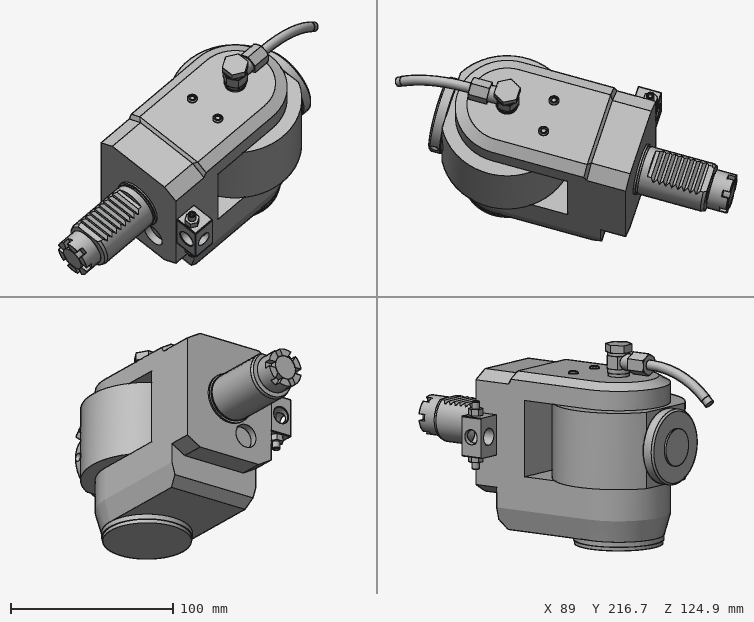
import cadquery as cq
import math


HALF_WIDTH = 32.0
PIVOT_Y = 86.0
FRONT_TOP_Z = 38.4
FRONT_CHAMFER_X = 9.7
FRONT_END_Y = 25.0
CHAMFER_SLOPE = math.tan(math.radians(30))
MAIN_TOP_Z = 40.2
MAIN_CHAMFER_X = 7.2
MAIN_START_Y = 26.9
FOOT_START_Y = 16.0
FOOT_TAPER_Z = -45.5
FOOT_BOTTOM_Z = -59.2
FOOT_TAPER = 3.9
FOOT_CHAMFER = 6.0
ROOF_BASE_Z = -30.0

HEAD_RADIUS = 41.0
HEAD_HALF_HEIGHT = 23.9
SLOT_FRONT_Y = 37.4
FLANGE_RADIUS = 23.6
FLANGE_NECK_RADIUS = 21.8
FLANGE_START_Y = 122.0
FLANGE_END_Y = 129.7
FLANGE_CHAMFER = 1.2
FLANGE_FRONT_CHAMFER = 0.5
SPINDLE_RADIUS = 11.7
SPINDLE_END_Y = 131.0
SPANNER_HOLE_DIAMETER = 5.4
SPANNER_HOLE_DEPTH = 2.7

COVER_RADIUS = 28.0
COVER_RIM_RADIUS = 27.4
COVER_STEP_Z = -62.4
COVER_BOTTOM_Z = -64.8

COLLAR_RADIUS = 16.1
COLLAR_LENGTH = 1.2
COLLAR_NECK_RADIUS = 14.8
SHANK_START = 2.4
SHANK_RADIUS = 15.2
SHANK_END = 45.0
SHANK_CHAMFER_LENGTH = 1.9
SHANK_TIP_RADIUS = 14.5
SHANK_NECK_RADIUS = 9.5
FLAT_START = 7.1
FLAT_Z = 12.1
TOOTH_COUNT = 8
TOOTH_PITCH = 3.95
TOOTH_DEPTH = 1.9
FIRST_VALLEY = 11.5
NUT_START = 46.1
NUT_END = 58.5
NUT_RADIUS = 12.2
NUT_BORE_RADIUS = 7.6
NUT_SLOT_COUNT = 6
NUT_SLOT_WIDTH = 4.0
NUT_SLOT_DEPTH = 4.2
COLLET_END = 58.8

LOCATING_HOLE_X = 12.7
LOCATING_HOLE_Z = -21.6
LOCATING_HOLE_DIAMETER = 15.2
LOCATING_HOLE_DEPTH = 5.0

BLOCK_END_X = 48.0
BLOCK_START_Y = 0.9
BLOCK_END_Y = 16.0
BLOCK_HALF_HEIGHT = 12.6
BLOCK_CHAMFER = 0.5
BLOCK_HOLE_DIAMETER = 10.6
BLOCK_HOLE_CHAMFER = 0.4
CROSS_HOLE_DIAMETER = 9.5
CROSS_HOLE_Y = 8.3
BLOCK_AXIS_X = 40.1
NIPPLE_Y = 6.0
NIPPLE_HEX_DIAMETER = 9.2
NIPPLE_HEX_HEIGHT = 4.0
NIPPLE_RADIUS = 2.4
NIPPLE_TIP_Z = 21.2
NIPPLE_TIP_CHAMFER = 0.4
NIPPLE_SOCKET_DIAMETER = 3.0
NIPPLE_SOCKET_DEPTH = 2.0
NIPPLE_HEX_ROUND_RADIUS = 4.4

SCREW_X = 10.9
SCREW_Y = 59.2
SCREW_RADIUS = 3.1
SCREW_HEIGHT = 1.3
SCREW_CHAMFER = 0.8
SCREW_SOCKET_DIAMETER = 3.4
SCREW_SOCKET_DEPTH = 1.0

STEM_RADIUS = 7.0
STEM_BASE_RADIUS = 6.6
STEM_BASE_TOP_Z = 42.2
STEM_TOP_Z = 55.2
STEM_HEX_DIAMETER = 15.5
STEM_FLATS_BOTTOM_Z = 45.0
STEM_FLATS_TOP_Z = 53.2
CAP_TOP_Z = 60.1
CAP_HEX_DIAMETER = 16.6
TUBE_Z = 49.3
ELBOW_RADIUS = 5.2
TUBE_NUT_START_Y = 97.4
TUBE_NUT_END_Y = 109.4
TUBE_NUT_DIAMETER = 14.0
TUBE_NUT_CHAMFER = 0.7
TUBE_RADIUS = 3.1
TUBE_BEND_START_Y = 111.4
TUBE_BEND_RADIUS = 60.0
TUBE_BEND_ANGLE = 43.7
TUBE_TIP_LENGTH = 4.1
TUBE_TIP_RADIUS = 2.95


def box(x0, x1, y0, y1, z0, z1):
    """Box given by its limits along each axis."""
    return cq.Workplane("XY").box(x1 - x0, y1 - y0, z1 - z0, centered=False).translate((x0, y0, z0))


def upright(x, y, z0, z1, radius):
    """Round bar along Z."""
    return cq.Workplane("XY", origin=(x, y, z0)).circle(radius).extrude(z1 - z0)


def lengthwise(y0, y1, radius, z=0):
    """Round bar along Y."""
    return cq.Workplane("XZ", origin=(0, y0, z)).circle(radius).extrude(y0 - y1)


def hexagon_upright(x, y, z0, z1, diameter):
    """Hexagonal bar along Z with two corners on X."""
    return cq.Workplane("XY", origin=(x, y, z0)).polygon(6, diameter).extrude(z1 - z0)


def u_wire(workplane, half_width, front_y):
    """Outline with a straight front and a round rear about the pivot axis."""
    return (
        workplane.moveTo(-half_width, front_y)
        .lineTo(half_width, front_y)
        .lineTo(half_width, PIVOT_Y)
        .threePointArc((0, PIVOT_Y + half_width), (-half_width, PIVOT_Y))
        .close()
    )


def u_block(z0, half_width0, z1, half_width1, front_y):
    """Block between two round-ended outlines at z0 and z1."""
    base = u_wire(cq.Workplane("XY", origin=(0, 0, z0)), half_width0, front_y)
    return u_wire(base.workplane(offset=z1 - z0), half_width1, front_y).loft(ruled=True)


def roof_points(top_z, chamfer_x):
    """Cross-section above the foot with both top corners cut at the roof slope."""
    corner_z = top_z - chamfer_x * CHAMFER_SLOPE
    flat_x = HALF_WIDTH - chamfer_x
    return [
        (-HALF_WIDTH, ROOF_BASE_Z),
        (-HALF_WIDTH, corner_z),
        (-flat_x, top_z),
        (flat_x, top_z),
        (HALF_WIDTH, corner_z),
        (HALF_WIDTH, ROOF_BASE_Z),
    ]


def make_body():
    front_upper = cq.Workplane("XZ").polyline(roof_points(FRONT_TOP_Z, FRONT_CHAMFER_X)).close()
    front_upper = front_upper.extrude(-FRONT_END_Y)
    body = front_upper.union(front_upper.mirror("XY"))

    step = (
        cq.Workplane("XZ", origin=(0, FRONT_END_Y, 0))
        .polyline(roof_points(FRONT_TOP_Z, FRONT_CHAMFER_X))
        .close()
        .workplane(offset=FRONT_END_Y - MAIN_START_Y)
        .polyline(roof_points(MAIN_TOP_Z, MAIN_CHAMFER_X))
        .close()
        .loft(ruled=True)
    )
    body = body.union(step)

    corner_z = MAIN_TOP_Z - MAIN_CHAMFER_X * CHAMFER_SLOPE
    flat_x = HALF_WIDTH - MAIN_CHAMFER_X
    body = body.union(u_block(ROOF_BASE_Z, HALF_WIDTH, corner_z, HALF_WIDTH, MAIN_START_Y))
    body = body.union(u_block(corner_z, HALF_WIDTH, MAIN_TOP_Z, flat_x, MAIN_START_Y))
    return body.union(make_foot())


def make_foot():
    straight = u_block(FOOT_TAPER_Z, HALF_WIDTH, ROOF_BASE_Z, HALF_WIDTH, FOOT_START_Y)
    tapered = u_block(FOOT_BOTTOM_Z, HALF_WIDTH - FOOT_TAPER, FOOT_TAPER_Z, HALF_WIDTH, FOOT_START_Y)
    corner = (
        cq.Workplane("YZ")
        .moveTo(FOOT_START_Y, FOOT_BOTTOM_Z)
        .lineTo(FOOT_START_Y + FOOT_CHAMFER, FOOT_BOTTOM_Z)
        .lineTo(FOOT_START_Y, FOOT_BOTTOM_Z + FOOT_CHAMFER)
        .close()
        .extrude(HALF_WIDTH, both=True)
    )
    return straight.union(tapered).cut(corner)


def cut_slot(body):
    rear_y = PIVOT_Y + HALF_WIDTH
    slot = box(-HALF_WIDTH, HALF_WIDTH, SLOT_FRONT_Y, rear_y, -HEAD_HALF_HEIGHT, HEAD_HALF_HEIGHT)
    return body.cut(slot)


def make_head():
    head = upright(0, PIVOT_Y, -HEAD_HALF_HEIGHT, HEAD_HALF_HEIGHT, HEAD_RADIUS)
    head = head.union(lengthwise(PIVOT_Y, FLANGE_END_Y, FLANGE_NECK_RADIUS))
    head_limit = lengthwise(0, FLANGE_END_Y, FLANGE_NECK_RADIUS)
    head_limit = head_limit.union(
        box(-HEAD_RADIUS, HEAD_RADIUS, 0, FLANGE_START_Y, -HEAD_HALF_HEIGHT, HEAD_HALF_HEIGHT)
    )
    head = head.intersect(head_limit)
    flange = lengthwise(FLANGE_START_Y, FLANGE_END_Y, FLANGE_RADIUS)
    flange = flange.faces(">Y").chamfer(FLANGE_CHAMFER).faces("<Y").chamfer(FLANGE_FRONT_CHAMFER)
    spanner_hole = cq.Workplane(
        cq.Solid.makeCone(
            SPANNER_HOLE_DIAMETER / 2,
            0,
            SPANNER_HOLE_DEPTH,
            pnt=cq.Vector(-FLANGE_RADIUS, (FLANGE_START_Y + FLANGE_END_Y) / 2, 0),
            dir=cq.Vector(1, 0, 0),
        )
    )
    spindle = lengthwise(FLANGE_START_Y, SPINDLE_END_Y, SPINDLE_RADIUS)
    return head.union(flange).cut(spanner_hole).union(spindle)


def make_cover():
    disc = upright(0, PIVOT_Y, COVER_STEP_Z, FOOT_BOTTOM_Z, COVER_RADIUS)
    rim = upright(0, PIVOT_Y, COVER_BOTTOM_Z, COVER_STEP_Z, COVER_RIM_RADIUS)
    return disc.union(rim)


def make_shank():
    profile = [
        (0, 0),
        (COLLAR_RADIUS, 0),
        (COLLAR_RADIUS, -COLLAR_LENGTH),
        (COLLAR_NECK_RADIUS, -COLLAR_LENGTH),
        (COLLAR_NECK_RADIUS, -SHANK_START),
        (SHANK_RADIUS, -SHANK_START),
        (SHANK_RADIUS, -SHANK_END + SHANK_CHAMFER_LENGTH),
        (SHANK_TIP_RADIUS, -SHANK_END),
        (SHANK_NECK_RADIUS, -SHANK_END),
        (SHANK_NECK_RADIUS, -NUT_START),
        (0, -NUT_START),
    ]
    shank = cq.Workplane("XY").polyline(profile).close().revolve(360, (0, 0, 0), (0, 1, 0))
    shank = shank.cut(box(-SHANK_RADIUS, SHANK_RADIUS, -SHANK_END, -FLAT_START, FLAT_Z, SHANK_RADIUS))
    for index in range(TOOTH_COUNT):
        valley_y = -FIRST_VALLEY - index * TOOTH_PITCH
        groove = (
            cq.Workplane("YZ")
            .moveTo(valley_y, FLAT_Z - TOOTH_DEPTH)
            .lineTo(valley_y + TOOTH_PITCH / 2, FLAT_Z)
            .lineTo(valley_y - TOOTH_PITCH / 2, FLAT_Z)
            .close()
            .extrude(SHANK_RADIUS, both=True)
        )
        shank = shank.cut(groove)
    return shank.union(make_collet_nut())


def make_collet_nut():
    nut = lengthwise(-NUT_END, -NUT_START, NUT_RADIUS)
    for index in range(NUT_SLOT_COUNT):
        slot = box(
            0,
            NUT_RADIUS,
            -NUT_END,
            -NUT_END + NUT_SLOT_DEPTH,
            -NUT_SLOT_WIDTH / 2,
            NUT_SLOT_WIDTH / 2,
        )
        nut = nut.cut(slot.rotate((0, 0, 0), (0, 1, 0), index * 360 / NUT_SLOT_COUNT))
    return nut.union(lengthwise(-COLLET_END, -NUT_START, NUT_BORE_RADIUS))


def make_locating_hole():
    return (
        cq.Workplane("XZ", origin=(LOCATING_HOLE_X, 0, LOCATING_HOLE_Z))
        .circle(LOCATING_HOLE_DIAMETER / 2)
        .extrude(-LOCATING_HOLE_DEPTH)
    )


def make_coolant_block():
    block = box(
        HALF_WIDTH, BLOCK_END_X, BLOCK_START_Y, BLOCK_END_Y, -BLOCK_HALF_HEIGHT, BLOCK_HALF_HEIGHT
    )
    outer_edges = cq.selectors.BoxSelector(
        (HALF_WIDTH + BLOCK_CHAMFER, 0, -2 * BLOCK_HALF_HEIGHT),
        (2 * BLOCK_END_X, BLOCK_END_Y - BLOCK_CHAMFER, 2 * BLOCK_HALF_HEIGHT),
    )
    block = block.edges("<Y or >X").edges(outer_edges).chamfer(BLOCK_CHAMFER)
    bore = lengthwise(0, BLOCK_END_Y, BLOCK_HOLE_DIAMETER / 2).translate((BLOCK_AXIS_X, 0, 0))
    block = block.cut(bore)
    block = block.faces("<Y").edges("%CIRCLE").chamfer(BLOCK_HOLE_CHAMFER)
    cross_hole = (
        cq.Workplane("YZ", origin=(BLOCK_AXIS_X, CROSS_HOLE_Y, 0))
        .circle(CROSS_HOLE_DIAMETER / 2)
        .extrude(BLOCK_END_X - BLOCK_AXIS_X)
    )
    nipple = make_nipple()
    return block.cut(cross_hole).union(nipple).union(nipple.mirror("XY"))


def make_nipple():
    hex_end_z = BLOCK_HALF_HEIGHT + NIPPLE_HEX_HEIGHT
    base = hexagon_upright(BLOCK_AXIS_X, NIPPLE_Y, BLOCK_HALF_HEIGHT, hex_end_z, NIPPLE_HEX_DIAMETER)
    cone_height = NIPPLE_HEX_ROUND_RADIUS + NIPPLE_HEX_HEIGHT
    corner_cone = cq.Workplane(
        cq.Solid.makeCone(
            cone_height,
            NIPPLE_HEX_ROUND_RADIUS,
            NIPPLE_HEX_HEIGHT,
            pnt=cq.Vector(BLOCK_AXIS_X, NIPPLE_Y, BLOCK_HALF_HEIGHT),
        )
    )
    tip = upright(BLOCK_AXIS_X, NIPPLE_Y, BLOCK_HALF_HEIGHT, NIPPLE_TIP_Z, NIPPLE_RADIUS)
    tip = tip.faces(">Z").chamfer(NIPPLE_TIP_CHAMFER)
    socket_z = NIPPLE_TIP_Z - NIPPLE_SOCKET_DEPTH
    socket = hexagon_upright(BLOCK_AXIS_X, NIPPLE_Y, socket_z, NIPPLE_TIP_Z, NIPPLE_SOCKET_DIAMETER)
    return base.intersect(corner_cone).union(tip).cut(socket)


def make_screw(x):
    screw_top_z = MAIN_TOP_Z + SCREW_HEIGHT
    head = upright(x, SCREW_Y, MAIN_TOP_Z, screw_top_z, SCREW_RADIUS).faces(">Z").chamfer(SCREW_CHAMFER)
    socket_z = screw_top_z - SCREW_SOCKET_DEPTH
    return head.cut(hexagon_upright(x, SCREW_Y, socket_z, screw_top_z, SCREW_SOCKET_DIAMETER))


def make_fitting():
    stem = upright(0, PIVOT_Y, STEM_BASE_TOP_Z, STEM_TOP_Z, STEM_RADIUS)
    outside_flats = box(
        -STEM_RADIUS,
        STEM_RADIUS,
        PIVOT_Y - STEM_RADIUS,
        PIVOT_Y + STEM_RADIUS,
        STEM_FLATS_BOTTOM_Z,
        STEM_FLATS_TOP_Z,
    )
    stem_hex = hexagon_upright(0, PIVOT_Y, STEM_FLATS_BOTTOM_Z, STEM_FLATS_TOP_Z, STEM_HEX_DIAMETER)
    stem_hex = stem_hex.rotate((0, PIVOT_Y, 0), (0, PIVOT_Y, 1), 90)
    stem = stem.cut(outside_flats).union(stem_hex)
    stem = stem.union(upright(0, PIVOT_Y, MAIN_TOP_Z, STEM_BASE_TOP_Z, STEM_BASE_RADIUS))
    cap = hexagon_upright(0, PIVOT_Y, STEM_TOP_Z, CAP_TOP_Z, CAP_HEX_DIAMETER)
    elbow = lengthwise(PIVOT_Y, TUBE_NUT_START_Y, ELBOW_RADIUS, TUBE_Z)
    tube_nut = (
        cq.Workplane("XZ", origin=(0, TUBE_NUT_START_Y, TUBE_Z))
        .polygon(6, TUBE_NUT_DIAMETER)
        .extrude(TUBE_NUT_START_Y - TUBE_NUT_END_Y)
        .rotate((0, 0, TUBE_Z), (0, 1, TUBE_Z), 90)
    )
    rounding = lengthwise(TUBE_NUT_START_Y, TUBE_NUT_END_Y, TUBE_NUT_DIAMETER / 2, TUBE_Z)
    rounding = rounding.faces(">Y").chamfer(TUBE_NUT_CHAMFER)
    tube_nut = tube_nut.intersect(rounding)
    return stem.union(cap).union(elbow).union(tube_nut)


def make_tube():
    angle = math.radians(TUBE_BEND_ANGLE)
    bend_centre_z = TUBE_Z - TUBE_BEND_RADIUS
    mid_y = TUBE_BEND_START_Y + TUBE_BEND_RADIUS * math.sin(angle / 2)
    mid_z = bend_centre_z + TUBE_BEND_RADIUS * math.cos(angle / 2)
    end_y = TUBE_BEND_START_Y + TUBE_BEND_RADIUS * math.sin(angle)
    end_z = bend_centre_z + TUBE_BEND_RADIUS * math.cos(angle)
    path = (
        cq.Workplane("YZ")
        .moveTo(TUBE_NUT_END_Y, TUBE_Z)
        .lineTo(TUBE_BEND_START_Y, TUBE_Z)
        .threePointArc((mid_y, mid_z), (end_y, end_z))
    )
    tube = cq.Workplane("XZ", origin=(0, TUBE_NUT_END_Y, TUBE_Z)).circle(TUBE_RADIUS).sweep(path)
    tip_plane = cq.Plane(
        origin=(0, end_y, end_z), xDir=(1, 0, 0), normal=(0, math.cos(angle), -math.sin(angle))
    )
    tip = cq.Workplane(tip_plane).circle(TUBE_TIP_RADIUS).extrude(TUBE_TIP_LENGTH)
    return tube.union(tip)


result = cut_slot(make_body())
result = result.cut(make_locating_hole())
result = result.union(make_head())
result = result.union(make_cover())
result = result.union(make_shank())
result = result.union(make_coolant_block())
for screw_x in (-SCREW_X, SCREW_X):
    result = result.union(make_screw(screw_x))
result = result.union(make_fitting())
result = result.union(make_tube())